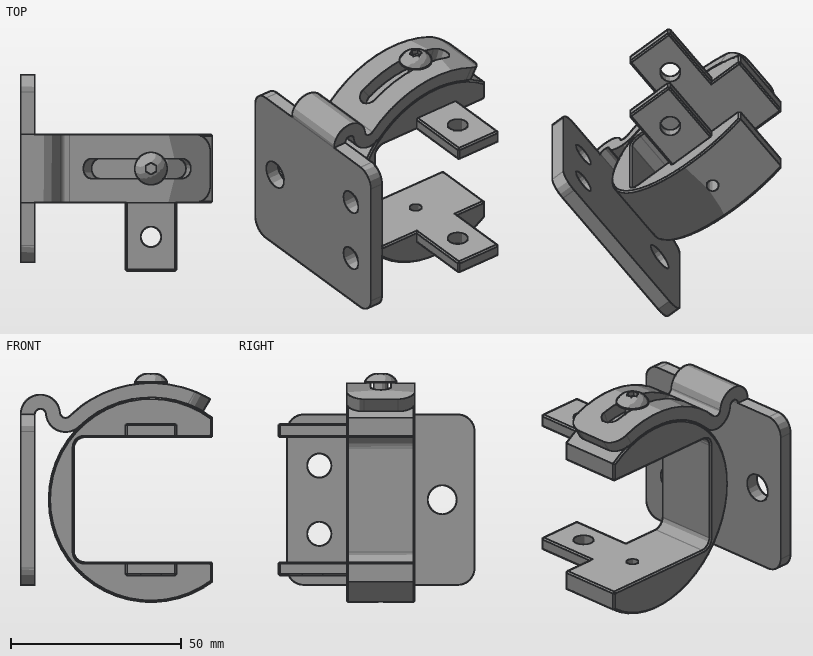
import cadquery as cq
import math

ring_radius = 30.0
body_width = 20.0
edge_chamfer = 0.5

clamp_end_x = 18.0
opening_half_height = 18.25
opening_wall_x = -22.5
opening_corner_radius = 3.0
tab_width = 15.0
tab_thickness = 4.0
tab_end_y = -30.0
tab_hole_diameter = 5.9
tab_hole_y = -20.0
lower_arm_hole_diameter = 3.5

screw_diameter = 4.2
head_diameter = 9.5
head_height = 2.79
head_rim_height = 0.35
head_flat_radius = 1.2
head_dome_radius = 3.4
head_dome_height = 1.95
socket_across_flats = 3.0
socket_depth = 1.5

strap_thickness = 4.2
strap_end_angle = 30.5
strap_corner_radius = 5.0
bend_radius = 1.6
slot_width = 5.9
slot_start_angle = -35.4
slot_end_angle = 20.0
plate_outer_x = -38.2
plate_width = 55.0
plate_height = 50.0
plate_corner_radius = 5.0
large_hole_diameter = 8.4
large_hole_y = 18.0
small_hole_diameter = 7.0
small_hole_y = -18.0
small_hole_spacing = 20.0

half_width = body_width / 2
strap_outer_radius = ring_radius + strap_thickness
bend_outer_radius = bend_radius + strap_thickness
plate_inner_x = plate_outer_x + strap_thickness
plate_top = plate_height / 2
shank_base_z = opening_half_height + tab_thickness
head_base_z = strap_outer_radius


def polar(radius, angle, center=(0.0, 0.0)):
    """Point (x, z) at an angle in degrees from +Z toward +X about a center."""
    turn = math.radians(angle)
    return (center[0] + radius * math.sin(turn), center[1] + radius * math.cos(turn))


def heading(start, end):
    """Angle in degrees from +Z toward +X of the direction between two points."""
    return math.degrees(math.atan2(end[0] - start[0], end[1] - start[1]))


def extrude_across(profile, width):
    """Extrude an XZ profile symmetrically about Y = 0."""
    return profile.extrude(width / 2, both=True)


def vertical_cylinder(diameter, y, bottom, top):
    """Cylinder along Z at X = 0."""
    return cq.Workplane().workplane(offset=bottom).center(0, y).circle(diameter / 2).extrude(top - bottom)


def clamp_ring():
    """Disc cut off at its open end, with a rectangular opening through it."""
    size = 2 * ring_radius
    ring = extrude_across(cq.Workplane("XZ").circle(ring_radius), body_width)
    ring = ring.intersect(cq.Workplane().box(size, size, size).translate((clamp_end_x - ring_radius, 0, 0)))
    opening = (
        cq.Workplane()
        .box(size, size, 2 * opening_half_height)
        .translate((opening_wall_x + ring_radius, 0, 0))
        .edges("|Y and <X")
        .fillet(opening_corner_radius)
    )
    ring = ring.cut(opening)
    inner_tips = cq.selectors.BoxSelector(
        (clamp_end_x - edge_chamfer, -size, -opening_half_height - edge_chamfer),
        (clamp_end_x + edge_chamfer, size, opening_half_height + edge_chamfer),
    )
    ring = ring.edges("|Y").edges(inner_tips).chamfer(edge_chamfer)
    return ring.faces("<Y or >Y").edges().chamfer(edge_chamfer)


def clamp_tab(side):
    """Drilled tab flush with the opening; side is +1 for the upper arm, -1 for the lower."""
    length = -tab_end_y
    tab = (
        cq.Workplane()
        .box(tab_width, length, tab_thickness)
        .edges()
        .chamfer(edge_chamfer)
        .translate((0, tab_end_y / 2, side * (opening_half_height + tab_thickness / 2)))
    )
    return tab.cut(vertical_cylinder(tab_hole_diameter, tab_hole_y, -ring_radius, ring_radius))


def screw():
    """Button-head screw whose shank runs down into the upper clamp arm."""
    shank = vertical_cylinder(screw_diameter, 0, shank_base_z, head_base_z)
    head_radius = head_diameter / 2
    head = (
        cq.Workplane("XZ", origin=(0, 0, head_base_z))
        .lineTo(head_radius, 0)
        .lineTo(head_radius, head_rim_height)
        .threePointArc((head_dome_radius, head_dome_height), (head_flat_radius, head_height))
        .lineTo(0, head_height)
        .close()
        .revolve(360, (0, 0), (0, 1))
    )
    socket_corner_diameter = socket_across_flats / math.cos(math.pi / 6)
    socket = (
        cq.Workplane(origin=(0, 0, head_base_z + head_height))
        .transformed(rotate=(0, 0, 90))
        .polygon(6, socket_corner_diameter)
        .extrude(-socket_depth)
    )
    return shank.union(head.cut(socket))


def make_clamp():
    clamp = clamp_ring()
    for side in (1, -1):
        clamp = clamp.union(clamp_tab(side))
    lower_arm_hole = vertical_cylinder(lower_arm_hole_diameter, 0, -ring_radius, 0)
    return clamp.cut(lower_arm_hole).union(screw())


def strap_outline():
    """XZ outline: straight plate edge, hook bend, reverse bend, then the arc over the clamp."""
    hook = (plate_inner_x + bend_radius, plate_top)
    hook_distance = math.hypot(*hook)
    reverse_distance = strap_outer_radius + bend_radius
    bend_spacing = bend_radius + bend_outer_radius
    angle_between = math.degrees(math.acos(
        (hook_distance**2 + reverse_distance**2 - bend_spacing**2) / (2 * hook_distance * reverse_distance)
    ))
    arc_start = heading((0, 0), hook) + angle_between
    reverse = polar(reverse_distance, arc_start)

    hook_end = heading(hook, reverse)
    hook_middle = (hook_end - 90) / 2
    reverse_start = hook_end + 180
    reverse_middle = (reverse_start + arc_start + 180) / 2
    arc_middle = (arc_start + strap_end_angle) / 2
    return (
        cq.Workplane("XZ")
        .moveTo(plate_outer_x, 0)
        .lineTo(plate_outer_x, plate_top)
        .threePointArc(polar(bend_outer_radius, hook_middle, hook), polar(bend_outer_radius, hook_end, hook))
        .threePointArc(polar(bend_radius, reverse_middle, reverse), polar(strap_outer_radius, arc_start))
        .threePointArc(polar(strap_outer_radius, arc_middle), polar(strap_outer_radius, strap_end_angle))
        .lineTo(*polar(ring_radius, strap_end_angle))
        .threePointArc(polar(ring_radius, arc_middle), polar(ring_radius, arc_start))
        .threePointArc(
            polar(bend_outer_radius, reverse_middle, reverse), polar(bend_outer_radius, reverse_start, reverse)
        )
        .threePointArc(polar(bend_radius, hook_middle, hook), (plate_inner_x, plate_top))
        .lineTo(plate_inner_x, 0)
        .close()
    )


def strap_slot():
    """Curved slot along the strap whose round ends finish on radial planes."""
    inner = ring_radius - strap_thickness / 2
    outer = strap_outer_radius + strap_thickness / 2
    end_radius = slot_width / 2

    def end_axis_point(height, angle, inward):
        """Point on the axis of a round end, set back from the radial plane at an angle."""
        return polar(end_radius, angle + inward * 90, polar(height, angle))

    middle_angle = (slot_start_angle + slot_end_angle) / 2
    slot = extrude_across(
        cq.Workplane("XZ")
        .moveTo(*end_axis_point(inner, slot_start_angle, 1))
        .lineTo(*end_axis_point(outer, slot_start_angle, 1))
        .threePointArc(polar(outer, middle_angle), end_axis_point(outer, slot_end_angle, -1))
        .lineTo(*end_axis_point(inner, slot_end_angle, -1))
        .threePointArc(polar(inner, middle_angle), end_axis_point(inner, slot_start_angle, 1))
        .close(),
        slot_width,
    )
    for angle, inward in ((slot_start_angle, 1), (slot_end_angle, -1)):
        round_end = (
            vertical_cylinder(slot_width, 0, inner, outer)
            .translate((inward * end_radius, 0, 0))
            .rotate((0, 0, 0), (0, 1, 0), angle)
        )
        slot = slot.union(round_end)
    return slot


def mounting_plate():
    """Upright plate with rounded corners."""
    return (
        cq.Workplane("YZ", origin=(plate_outer_x, 0, 0))
        .rect(plate_width, plate_height)
        .extrude(strap_thickness)
        .edges("|X")
        .fillet(plate_corner_radius)
    )


def plate_holes():
    """One large hole and a pair of small holes through the plate."""
    plane = cq.Workplane("YZ", origin=(plate_outer_x, 0, 0))
    large = plane.center(large_hole_y, 0).circle(large_hole_diameter / 2).extrude(strap_thickness)
    small = (
        plane.center(small_hole_y, 0)
        .rarray(1, small_hole_spacing, 1, 2)
        .circle(small_hole_diameter / 2)
        .extrude(strap_thickness)
    )
    return large.union(small)


def make_strap():
    strap = extrude_across(strap_outline(), body_width)
    middle_radius = (ring_radius + strap_outer_radius) / 2
    tip_x, tip_z = polar(middle_radius, strap_end_angle)
    for y in (-half_width, half_width):
        tip_edge = cq.selectors.NearestToPointSelector((tip_x, y, tip_z))
        strap = strap.edges(tip_edge).fillet(strap_corner_radius)
    return strap.cut(strap_slot()).union(mounting_plate()).cut(plate_holes())


clamp = make_clamp()
strap = make_strap()
result = cq.Compound.makeCompound([clamp.val(), strap.val()])